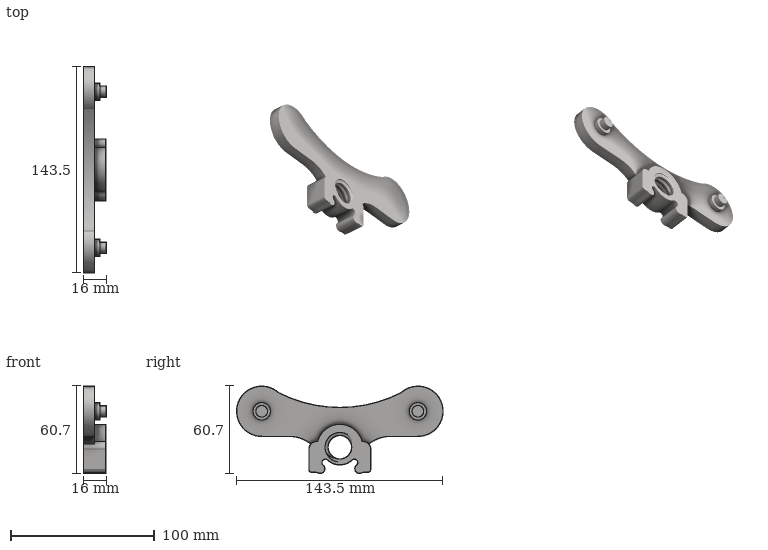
import cadquery as cq
import math


plate_thickness = 7.9
clamp_depth = 15.6
collar_end = 11.5
pin_end = 16.0

overall_width = 143.5
lobe_radius = 17.5
lobe_y = overall_width / 2 - lobe_radius
lobe_z = 25.0
saddle_z = 27.7
saddle_end_y = 42.5
flare_start_y = 35.0
flare_radius = 23.7
flare_end_y = 18.6

collar_diameter = 12.0
pin_diameter = 8.0

clamp_half_width = 21.5
clamp_top_z = 3.9
clamp_bottom_z = -17.5
shoulder_radius = 5.2
crown_radius = 15.9
corner_radius = 2.2
cradle_radius = 12.3
notch_radius = 2.3
notch_angle = 43.5
hook_radius = 3.3
hook_bottom_z = -18.2
heel_radius = 4.3

minor_diameter = 16.2
major_diameter = 20.5
thread_pitch = 4.0
root_width = 1.6
flank_angle = 15.0
groove_overlap = 0.5


def point_between(start, end, distance):
    """Point on the line from start towards end, at a distance from start."""
    ratio = distance / math.dist(start, end)
    return tuple(a + (b - a) * ratio for a, b in zip(start, end))


def mirrored(half):
    return half.union(half.mirror("XZ"))


def make_plate():
    lobe_bottom_z = lobe_z - lobe_radius
    saddle_end_z = lobe_z + math.sqrt(lobe_radius**2 - (lobe_y - saddle_end_y) ** 2)
    saddle_rise = saddle_end_z - saddle_z
    saddle_radius = (saddle_end_y**2 + saddle_rise**2) / (2 * saddle_rise)
    flare_run = flare_start_y - flare_end_y
    flare_end_z = lobe_bottom_z - flare_radius + math.sqrt(flare_radius**2 - flare_run**2)
    saddle_mid_y = saddle_end_y / 2
    saddle_mid_z = saddle_z + saddle_radius - math.sqrt(saddle_radius**2 - saddle_mid_y**2)
    half = (
        cq.Workplane("YZ")
        .moveTo(0, saddle_z)
        .threePointArc((saddle_mid_y, saddle_mid_z), (saddle_end_y, saddle_end_z))
        .threePointArc((lobe_y + lobe_radius, lobe_z), (lobe_y, lobe_bottom_z))
        .lineTo(flare_start_y, lobe_bottom_z)
        .tangentArcPoint((flare_end_y, flare_end_z), relative=False)
        .lineTo(0, flare_end_z)
        .close()
        .extrude(plate_thickness)
    )
    return mirrored(half)


def make_clamp():
    hole = (0.0, 0.0)
    angle = math.radians(notch_angle)
    notch_distance = cradle_radius + notch_radius
    notch = (notch_distance * math.sin(angle), -notch_distance * math.cos(angle))

    hook_z = hook_bottom_z + hook_radius
    hook_reach = notch_radius + hook_radius
    hook = (notch[0] + math.sqrt(hook_reach**2 - (notch[1] - hook_z) ** 2), hook_z)
    heel_z = clamp_bottom_z - heel_radius
    heel_reach = hook_radius + heel_radius
    heel = (hook[0] + math.sqrt(heel_reach**2 - (hook_z - heel_z) ** 2), heel_z)

    cradle_end = point_between(hole, notch, cradle_radius)
    cradle_mid = (cradle_radius * math.sin(angle / 2), -cradle_radius * math.cos(angle / 2))
    crown_end_y = math.sqrt(crown_radius**2 - clamp_top_z**2)
    crown_mid_angle = math.atan2(crown_end_y, clamp_top_z) / 2
    crown_mid = (crown_radius * math.sin(crown_mid_angle), crown_radius * math.cos(crown_mid_angle))
    half = (
        cq.Workplane("YZ")
        .moveTo(0, -cradle_radius)
        .threePointArc(cradle_mid, cradle_end)
        .tangentArcPoint(point_between(notch, hook, notch_radius), relative=False)
        .tangentArcPoint(point_between(hook, heel, hook_radius), relative=False)
        .tangentArcPoint((heel[0], clamp_bottom_z), relative=False)
        .lineTo(clamp_half_width - corner_radius, clamp_bottom_z)
        .tangentArcPoint((clamp_half_width, clamp_bottom_z + corner_radius), relative=False)
        .lineTo(clamp_half_width, clamp_top_z - shoulder_radius)
        .tangentArcPoint((clamp_half_width - shoulder_radius, clamp_top_z), relative=False)
        .lineTo(crown_end_y, clamp_top_z)
        .threePointArc(crown_mid, (0, crown_radius))
        .close()
        .extrude(clamp_depth)
    )
    return mirrored(half)


def make_pin():
    collar = cq.Workplane("YZ").circle(collar_diameter / 2).extrude(collar_end)
    return collar.union(cq.Workplane("YZ").circle(pin_diameter / 2).extrude(pin_end))


def make_thread_groove():
    """Left-hand groove, centred at +Z on the plate face and run out past both faces."""
    minor_radius = minor_diameter / 2
    major_radius = major_diameter / 2
    mouth_radius = minor_radius - groove_overlap
    root_half = root_width / 2
    mouth_half = root_half + (major_radius - mouth_radius) * math.tan(math.radians(flank_angle))
    turns = math.ceil(clamp_depth / thread_pitch) + 2
    helix = cq.Wire.makeHelix(thread_pitch, turns * thread_pitch, minor_radius, lefthand=True)
    groove = (
        cq.Workplane("XZ")
        .polyline([
            (mouth_radius, -mouth_half),
            (major_radius, -root_half),
            (major_radius, root_half),
            (mouth_radius, mouth_half),
        ])
        .close()
        .sweep(cq.Workplane(helix), isFrenet=True)
    )
    return (
        groove.rotate((0, 0, 0), (0, 1, 0), 90)
        .rotate((0, 0, 0), (1, 0, 0), 180)
        .translate((-thread_pitch, 0, 0))
    )


pin = make_pin()
bore = cq.Workplane("YZ").circle(minor_diameter / 2).extrude(clamp_depth)

result = make_plate().union(make_clamp())
for side in (-1, 1):
    result = result.union(pin.translate((0, side * lobe_y, lobe_z)))
result = result.cut(make_thread_groove()).cut(bore)